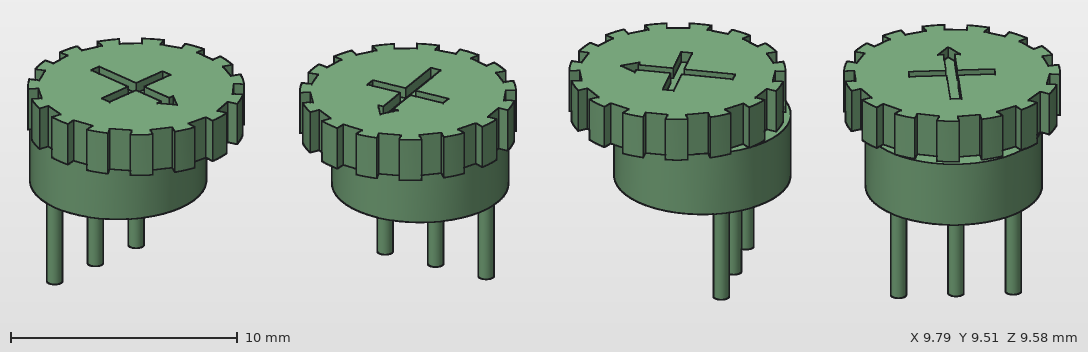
import cadquery as cq

wheel_radius = 4.77
wheel_height = 2.0
notch_count = 15
notch_width = 1.0
notch_floor_distance = 4.28

mark_depth = 0.5
mark_bar_width = 0.5
arrow_length = 5.11
arrow_head_length = 0.74
arrow_head_width = 2 * mark_bar_width
cross_bar_length = 3.8

housing_diameter = 7.8
housing_height = 3.0
overall_length = 9.79
housing_center_x = wheel_radius + housing_diameter / 2 - overall_length

pin_diameter = 0.7
pin_length = 4.58
pin_pitch = 2.54
pin_row_x = -pin_pitch

housing_bottom_z = pin_length
wheel_bottom_z = housing_bottom_z + housing_height
wheel_top_z = wheel_bottom_z + wheel_height


def make_notch(index):
    """Flat-floored notch cutter; the first one faces +Y."""
    return (
        cq.Workplane("XY", origin=(0, notch_floor_distance, wheel_bottom_z))
        .rect(notch_width, 2 * (wheel_radius - notch_floor_distance))
        .extrude(wheel_height)
        .translate((0, wheel_radius - notch_floor_distance, 0))
        .rotate((0, 0, 0), (0, 0, 1), index * 360 / notch_count)
    )


def make_arrow_mark():
    """Cutter for the arrow pointing along +X and the bar crossing it."""
    tip_x = arrow_length / 2
    head_x = tip_x - arrow_head_length
    half_bar = mark_bar_width / 2
    half_head = arrow_head_width / 2
    top = cq.Workplane("XY", origin=(0, 0, wheel_top_z))
    arrow = (
        top.moveTo(-tip_x, -half_bar)
        .lineTo(head_x, -half_bar)
        .lineTo(head_x, -half_head)
        .lineTo(tip_x, 0)
        .lineTo(head_x, half_head)
        .lineTo(head_x, half_bar)
        .lineTo(-tip_x, half_bar)
        .close()
        .extrude(-mark_depth)
    )
    cross_bar = top.rect(mark_bar_width, cross_bar_length).extrude(-mark_depth)
    return arrow.union(cross_bar)


def make_wheel():
    """Notched thumbwheel with the recessed arrow mark."""
    wheel = (
        cq.Workplane("XY", origin=(0, 0, wheel_bottom_z))
        .circle(wheel_radius)
        .extrude(wheel_height)
    )
    for index in range(notch_count):
        wheel = wheel.cut(make_notch(index))
    return wheel.cut(make_arrow_mark())


def make_housing():
    """Round housing with its three pins as one solid."""
    housing = (
        cq.Workplane("XY", origin=(housing_center_x, 0, housing_bottom_z))
        .circle(housing_diameter / 2)
        .extrude(housing_height)
    )
    pin_places = [(pin_row_x, row * pin_pitch) for row in (-1, 0, 1)]
    pins = cq.Workplane("XY").pushPoints(pin_places).circle(pin_diameter / 2).extrude(pin_length)
    return housing.union(pins)


wheel = make_wheel()
housing = make_housing()
result = cq.Compound.makeCompound([wheel.val(), housing.val()])